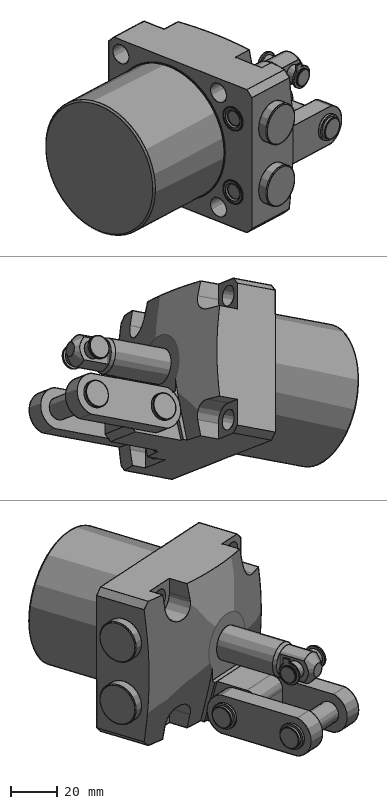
import cadquery as cq
import math


BLOCK_LEFT = -35.0
BLOCK_RIGHT = 47.2
BLOCK_HALF_HEIGHT = 35.0
BLOCK_WIDTH = BLOCK_RIGHT - BLOCK_LEFT
BLOCK_MID_X = (BLOCK_LEFT + BLOCK_RIGHT) / 2
CORNER_CHAMFER = 3.0

FRONT_Y = 36.4
FRONT_FLAT_RADIUS = 14.0
CONE_ANGLE = math.radians(15)
CONE_BASE_RADIUS = 70.0

BARREL_DIAMETER = 63.0
BARREL_LENGTH = 46.9
BARREL_CHAMFER = 0.8
COLLAR_DIAMETER = 63.8
COLLAR_LENGTH = 0.4

BOLT_OFFSET = 28.0
BOLT_HOLE_DIAMETER = 9.1
SEAT_RADIUS = 7.5
SEAT_Y = 20.0

PORT_X = 36.1
PORT_Z = 17.9
RING_OUTER_DIAMETER = 11.3
RING_INNER_DIAMETER = 7.0
RING_HEIGHT = 1.0
RING_OUTER_CHAMFER = 0.49
RING_INNER_CHAMFER = 0.7

PLUG_DIAMETER = 19.0
PLUG_LENGTH = 4.6
PLUG_Y = 14.0
PLUG_Z = 15.1
PLUG_CHAMFER = 0.4

LUG_HALF_WIDTH = 9.5
LUG_TOP_Z = -14.5
LUG_TIP_Y = 59.2
LUG_TOP_RADIUS = 5.9
LUG_ROOT_CHAMFER = 0.8
PAD_HALF_WIDTH = 11.3
PAD_TOP_Y = 37.7

LINK_FRONT_PIN_Y = 83.6
LINK_REAR_PIN_Y = 48.0
LINK_Z = -24.5
LINK_RADIUS = 9.5
LINK_HALF_HEIGHT = 9.2
PLATE_THICKNESS = 9.0
PLATE_INNER_X = LUG_HALF_WIDTH
PLATE_OUTER_X = PLATE_INNER_X + PLATE_THICKNESS
LINK_PIN_DIAMETER = 10.1
LINK_HEAD_DIAMETER = 12.0
LINK_HEAD_LENGTH = 1.7
LINK_CLIP_LENGTH = 1.3
LINK_TAIL_LENGTH = 1.7

ROD_DIAMETER = 16.0
SHOULDER_Y = 65.7
NOSE_Y = 67.3
NOSE_DIAMETER = 14.3
NOSE_CHAMFER = 3.9
ROD_TIP_Y = 84.1
NOSE_HALF_THICKNESS = 4.9
FLAT_ROOT_FILLET = 0.5
ROD_PIN_Y = 76.0
ROD_PIN_DIAMETER = 8.1
ROD_PIN_SEAT_X = 9.5
ROD_PIN_HEAD_DIAMETER = 10.4
ROD_PIN_HEAD_LENGTH = 1.3
ROD_PIN_CLIP_LENGTH = 0.8
ROD_PIN_TAIL_LENGTH = 1.0
CLIP_LUG_WIDTH = 3.2
CLIP_LUG_TOP_Z = 6.9
PIN_END_CHAMFER = 0.3


def box_between(x_range, y_range, z_range):
    """Box given by its limits along each axis."""
    size = [high - low for low, high in (x_range, y_range, z_range)]
    corner = (x_range[0], y_range[0], z_range[0])
    return cq.Workplane("XY").box(*size, centered=False).translate(corner)


def cylinder_along_x(x_start, x_end, y, z, diameter):
    """Cylinder parallel to X."""
    return cq.Workplane("YZ", origin=(x_start, y, z)).circle(diameter / 2).extrude(x_end - x_start)


def cylinder_along_y(x, z, y_start, y_end, diameter):
    """Cylinder parallel to Y."""
    return cq.Workplane("XZ", origin=(x, y_start, z)).circle(diameter / 2).extrude(y_start - y_end)


def turned_about_y(profile):
    """Solid of revolution about the Y axis from (radius, y) points."""
    return cq.Workplane("XY").polyline(profile).close().revolve(360, (0, 0, 0), (0, 1, 0))


def headed_pin(y, z, seat_x, shank_diameter, head_diameter, head_length, clip_length, tail_length):
    """Pin along X with a head at its -X end, and a retaining ring and tail at its +X end."""
    clip_end = seat_x + clip_length
    head = cylinder_along_x(-seat_x - head_length, -seat_x, y, z, head_diameter)
    head = head.faces("<X").chamfer(PIN_END_CHAMFER)
    shank = cylinder_along_x(-seat_x, clip_end + tail_length, y, z, shank_diameter)
    shank = shank.faces(">X").chamfer(PIN_END_CHAMFER)
    clip = cylinder_along_x(seat_x, clip_end, y, z, head_diameter)
    return head.union(shank).union(clip)


def block():
    """Chamfered block whose front is trimmed to a flat-topped cone."""
    blank = (
        cq.Workplane("XZ", origin=(BLOCK_MID_X, 0, 0))
        .rect(BLOCK_WIDTH, 2 * BLOCK_HALF_HEIGHT)
        .extrude(-FRONT_Y)
        .edges("|Y")
        .chamfer(CORNER_CHAMFER)
    )
    cone_drop = (CONE_BASE_RADIUS - FRONT_FLAT_RADIUS) * math.tan(CONE_ANGLE)
    envelope = turned_about_y([
        (0, 0),
        (CONE_BASE_RADIUS, 0),
        (CONE_BASE_RADIUS, FRONT_Y - cone_drop),
        (FRONT_FLAT_RADIUS, FRONT_Y),
        (0, FRONT_Y),
    ])
    return blank.intersect(envelope)


def barrel():
    """Chamfered barrel behind the block, with its root collar."""
    radius = BARREL_DIAMETER / 2
    return turned_about_y([
        (0, 0),
        (COLLAR_DIAMETER / 2, 0),
        (COLLAR_DIAMETER / 2, -COLLAR_LENGTH),
        (radius, -COLLAR_LENGTH),
        (radius, BARREL_CHAMFER - BARREL_LENGTH),
        (radius - BARREL_CHAMFER, -BARREL_LENGTH),
        (0, -BARREL_LENGTH),
    ])


def bolt_cut(x_side, z_side):
    """Through hole and head seat; seats open to the nearest Z side, and on the left also to -X."""
    x = x_side * BOLT_OFFSET
    z = z_side * BOLT_OFFSET
    seat_depth = (SEAT_Y, FRONT_Y)
    z_open = sorted((z, z_side * BLOCK_HALF_HEIGHT))
    cut = cylinder_along_y(x, z, 0, FRONT_Y, BOLT_HOLE_DIAMETER)
    cut = cut.union(cylinder_along_y(x, z, SEAT_Y, FRONT_Y, 2 * SEAT_RADIUS))
    cut = cut.union(box_between((x - SEAT_RADIUS, x + SEAT_RADIUS), seat_depth, z_open))
    if x_side < 0:
        z_beside = sorted((z - z_side * SEAT_RADIUS, z_side * BLOCK_HALF_HEIGHT))
        cut = cut.union(box_between((BLOCK_LEFT, x), seat_depth, z_beside))
    return cut


def lug():
    """Lug with a rounded upper nose and a chamfered lower one."""
    lower_z = -BLOCK_HALF_HEIGHT
    round_offset = LUG_TOP_RADIUS * (1 - math.sqrt(0.5))
    return (
        cq.Workplane("YZ", origin=(-LUG_HALF_WIDTH, 0, 0))
        .moveTo(SEAT_Y, lower_z)
        .lineTo(LUG_TIP_Y - CORNER_CHAMFER, lower_z)
        .lineTo(LUG_TIP_Y, lower_z + CORNER_CHAMFER)
        .lineTo(LUG_TIP_Y, LUG_TOP_Z - LUG_TOP_RADIUS)
        .threePointArc(
            (LUG_TIP_Y - round_offset, LUG_TOP_Z - round_offset),
            (LUG_TIP_Y - LUG_TOP_RADIUS, LUG_TOP_Z),
        )
        .lineTo(SEAT_Y, LUG_TOP_Z)
        .close()
        .extrude(2 * LUG_HALF_WIDTH)
    )


def pad():
    """Pad around the lug root, sloped like the cone and blended into the flat front."""
    lower_z = -BLOCK_HALF_HEIGHT
    flat_edge_z = -math.sqrt(FRONT_FLAT_RADIUS ** 2 - PAD_HALF_WIDTH ** 2)
    slope_drop = (LUG_TOP_Z - lower_z) * math.tan(CONE_ANGLE)
    return (
        cq.Workplane("YZ", origin=(-PAD_HALF_WIDTH, 0, 0))
        .moveTo(SEAT_Y, lower_z)
        .lineTo(PAD_TOP_Y - slope_drop, lower_z)
        .lineTo(PAD_TOP_Y, LUG_TOP_Z)
        .lineTo(FRONT_Y, LUG_TOP_Z + LUG_ROOT_CHAMFER)
        .lineTo(FRONT_Y, flat_edge_z)
        .lineTo(SEAT_Y, flat_edge_z)
        .close()
        .extrude(2 * PAD_HALF_WIDTH)
    )


def make_housing():
    """Block, barrel, plugs and link lug in one piece, with bolt holes, pin hole and port recesses."""
    housing = block().union(barrel())
    for x_side in (-1, 1):
        for z_side in (-1, 1):
            housing = housing.cut(bolt_cut(x_side, z_side))
    housing = housing.union(pad()).union(lug())
    housing = housing.cut(
        cylinder_along_x(-LUG_HALF_WIDTH, LUG_HALF_WIDTH, LINK_REAR_PIN_Y, LINK_Z, LINK_PIN_DIAMETER)
    )
    for z_side in (-1, 1):
        plug = cylinder_along_x(
            BLOCK_RIGHT, BLOCK_RIGHT + PLUG_LENGTH, PLUG_Y, z_side * PLUG_Z, PLUG_DIAMETER
        )
        housing = housing.union(plug.faces(">X").chamfer(PLUG_CHAMFER))
        housing = housing.cut(
            cylinder_along_y(PORT_X, z_side * PORT_Z, 0, RING_HEIGHT, RING_OUTER_DIAMETER)
        )
    return housing


def make_seal_ring(z):
    """Sealing ring flush with the mounting face, with both mouth edges chamfered."""
    outer_radius = RING_OUTER_DIAMETER / 2
    inner_radius = RING_INNER_DIAMETER / 2
    return turned_about_y([
        (inner_radius, RING_HEIGHT),
        (outer_radius, RING_HEIGHT),
        (outer_radius, RING_OUTER_CHAMFER),
        (outer_radius - RING_OUTER_CHAMFER, 0),
        (inner_radius + RING_INNER_CHAMFER, 0),
        (inner_radius, RING_INNER_CHAMFER),
    ]).translate((PORT_X, 0, z))


def make_rod():
    """Piston rod standing on the flat front, with its cross pin."""
    rod_radius = ROD_DIAMETER / 2
    nose_radius = NOSE_DIAMETER / 2
    rod = turned_about_y([
        (0, FRONT_Y),
        (rod_radius, FRONT_Y),
        (rod_radius, SHOULDER_Y),
        (nose_radius, NOSE_Y),
        (nose_radius, ROD_TIP_Y - NOSE_CHAMFER),
        (nose_radius - NOSE_CHAMFER, ROD_TIP_Y),
        (0, ROD_TIP_Y),
    ])
    for x_range in ((-rod_radius, -NOSE_HALF_THICKNESS), (NOSE_HALF_THICKNESS, rod_radius)):
        flat_cut = box_between(x_range, (NOSE_Y, ROD_TIP_Y), (-rod_radius, rod_radius))
        root_edge = flat_cut.faces("<Y").edges(">X" if x_range[0] < 0 else "<X")
        rod = rod.cut(root_edge.fillet(FLAT_ROOT_FILLET))
    cross_pin = headed_pin(
        ROD_PIN_Y, 0, ROD_PIN_SEAT_X, ROD_PIN_DIAMETER, ROD_PIN_HEAD_DIAMETER,
        ROD_PIN_HEAD_LENGTH, ROD_PIN_CLIP_LENGTH, ROD_PIN_TAIL_LENGTH,
    )
    clip_lug = box_between(
        (ROD_PIN_SEAT_X, ROD_PIN_SEAT_X + ROD_PIN_CLIP_LENGTH),
        (ROD_PIN_Y - CLIP_LUG_WIDTH, ROD_PIN_Y),
        (0, CLIP_LUG_TOP_Z),
    )
    return rod.union(cross_pin).union(clip_lug)


def link_plate(x_start):
    """Plate with round ends about the two pin centres and slightly narrower flat sides."""
    pin_spacing = LINK_FRONT_PIN_Y - LINK_REAR_PIN_Y
    mid_y = (LINK_FRONT_PIN_Y + LINK_REAR_PIN_Y) / 2
    flat_sides = box_between(
        (x_start, x_start + PLATE_THICKNESS),
        (LINK_REAR_PIN_Y - LINK_RADIUS, LINK_FRONT_PIN_Y + LINK_RADIUS),
        (LINK_Z - LINK_HALF_HEIGHT, LINK_Z + LINK_HALF_HEIGHT),
    )
    return (
        cq.Workplane("YZ", origin=(x_start, mid_y, LINK_Z))
        .slot2D(pin_spacing + 2 * LINK_RADIUS, 2 * LINK_RADIUS)
        .extrude(PLATE_THICKNESS)
        .intersect(flat_sides)
    )


def make_link():
    """Both plates with the two pins that join them."""
    link = link_plate(-PLATE_OUTER_X).union(link_plate(PLATE_INNER_X))
    for pin_y in (LINK_REAR_PIN_Y, LINK_FRONT_PIN_Y):
        link = link.union(headed_pin(
            pin_y, LINK_Z, PLATE_OUTER_X, LINK_PIN_DIAMETER, LINK_HEAD_DIAMETER,
            LINK_HEAD_LENGTH, LINK_CLIP_LENGTH, LINK_TAIL_LENGTH,
        ))
    return link


housing = make_housing()
rod = make_rod()
link = make_link()
seal_rings = [make_seal_ring(z_side * PORT_Z) for z_side in (-1, 1)]

result = cq.Compound.makeCompound(
    [housing.val(), rod.val(), link.val(), *[seal_ring.val() for seal_ring in seal_rings]]
)